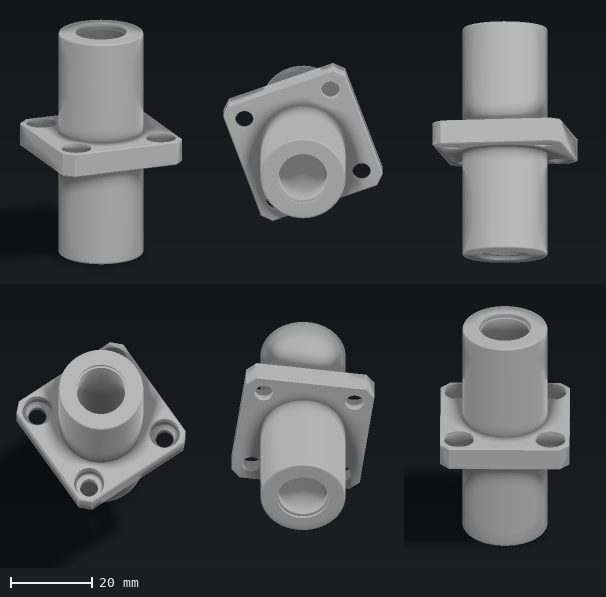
import cadquery as cq

sleeve_length = 57.0
sleeve_diameter = 21.0
sleeve_edge_radius = 0.55

bore_diameter = 12.0
lip_diameter = 12.8
lip_length = 0.75
groove_diameter = 13.6
groove_floor_depth = 1.15

flange_side = 32.0
flange_across_corners = 41.95
flange_thickness = 6.0
flange_edge_chamfer = 0.3

hole_circle_diameter = 32.0
hole_diameter = 4.5
counterbore_diameter = 7.5
counterbore_depth = 4.1
hole_count = 4


def make_sleeve():
    sleeve = cq.Workplane("XY").circle(sleeve_diameter / 2).extrude(sleeve_length / 2, both=True)
    return sleeve.faces("<Z or >Z").edges().fillet(sleeve_edge_radius)


def make_flange():
    square = (
        cq.Workplane("XY")
        .box(flange_side, flange_side, flange_thickness)
        .rotate((0, 0, 0), (0, 0, 1), 45)
    )
    corner_limits = cq.Workplane("XY").box(flange_across_corners, flange_across_corners, flange_thickness)
    flange = square.intersect(corner_limits)
    return flange.faces("<Z or >Z").edges().chamfer(flange_edge_chamfer)


def cut_mounting_holes(body):
    return (
        body.copyWorkplane(cq.Workplane("XY", origin=(0, 0, flange_thickness / 2)))
        .polarArray(hole_circle_diameter / 2, 0, 360, hole_count)
        .cboreHole(hole_diameter, counterbore_diameter, counterbore_depth, flange_thickness)
    )


def cut_bore(body):
    bore = cq.Workplane("XY").circle(bore_diameter / 2).extrude(sleeve_length / 2, both=True)
    groove_floor = cq.Workplane("XY", origin=(0, 0, sleeve_length / 2 - groove_floor_depth))
    mouth = groove_floor.circle(lip_diameter / 2).extrude(groove_floor_depth)
    groove = groove_floor.circle(groove_diameter / 2).extrude(groove_floor_depth - lip_length)
    recess = mouth.union(groove)
    return body.cut(bore).cut(recess).cut(recess.mirror("XY"))


flange = cut_mounting_holes(make_flange())
result = cut_bore(flange.union(make_sleeve()))